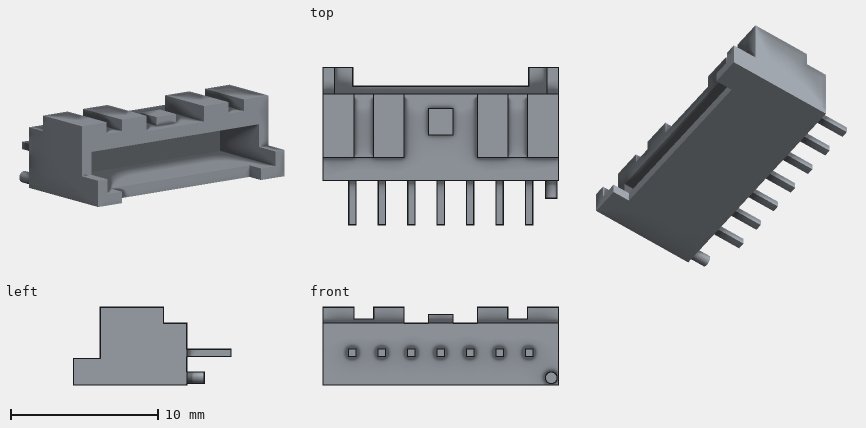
import cadquery as cq


length = 16.0
body_depth = 7.7
deck_height = 4.2
full_height = 5.3
wall = 0.8

cheek_depth = 1.8
cheek_height = 1.82
notch_depth = 1.28
notch_margin = 2.03

rear_shelf = 1.57
pad_width = 5.52
groove_offset = 2.11
groove_width = 1.33
groove_depth = 0.8
key_width = 1.66
key_depth = 1.82
key_height = 0.6
key_setback = 0.98

pin_count = 7
pin_pitch = 2.0
pin_size = 0.51
pin_length = 3.0
pin_height = 2.2
peg_diameter = 0.8
peg_length = 1.2
peg_x = 7.5
peg_height = 0.5

half_length = length / 2
roof_front = body_depth - cheek_depth
back_wall = rear_shelf


def block(x_range, y_range, z_range):
    """Box spanning the given (low, high) range on each axis."""
    spans = [high - low for low, high in (x_range, y_range, z_range)]
    return cq.Workplane("XY").box(*spans, centered=False).translate((x_range[0], y_range[0], z_range[0]))


def make_housing():
    """Stepped shell with a socket open at +Y and a notch in the floor lip."""
    outline = [
        (0, 0),
        (body_depth, 0),
        (body_depth, cheek_height),
        (roof_front, cheek_height),
        (roof_front, deck_height),
        (0, deck_height),
    ]
    shell = cq.Workplane("YZ").polyline(outline).close().extrude(half_length, both=True)

    inner_half = half_length - wall
    socket = block((-inner_half, inner_half), (back_wall, body_depth), (wall, deck_height - wall))

    notch_half = half_length - notch_margin
    notch = block((-notch_half, notch_half), (body_depth - notch_depth, body_depth), (0, cheek_height))
    return shell.cut(socket).cut(notch)


def make_left_pad():
    """Raised pad flush with the -X end, with one groove along Y."""
    depth_range = (rear_shelf, roof_front)
    pad = block((-half_length, pad_width - half_length), depth_range, (deck_height, full_height))
    groove_start = groove_offset - half_length
    groove = block(
        (groove_start, groove_start + groove_width),
        depth_range,
        (full_height - groove_depth, full_height),
    )
    return pad.cut(groove)


def make_key():
    """Small centred block on the deck."""
    key_front = roof_front - key_setback
    return block(
        (-key_width / 2, key_width / 2),
        (key_front - key_depth, key_front),
        (deck_height, deck_height + key_height),
    )


def make_pin(x):
    """Square pin projecting from the pin face."""
    return cq.Workplane("XZ").center(x, pin_height).rect(pin_size, pin_size).extrude(pin_length)


def make_peg():
    """Round locating peg at the lower +X corner of the pin face."""
    return cq.Workplane("XZ").center(peg_x, peg_height).circle(peg_diameter / 2).extrude(peg_length)


left_pad = make_left_pad()
result = make_housing().union(left_pad).union(left_pad.mirror("YZ")).union(make_key()).union(make_peg())

for index in range(pin_count):
    pin_x = (index - (pin_count - 1) / 2) * pin_pitch
    result = result.union(make_pin(pin_x))